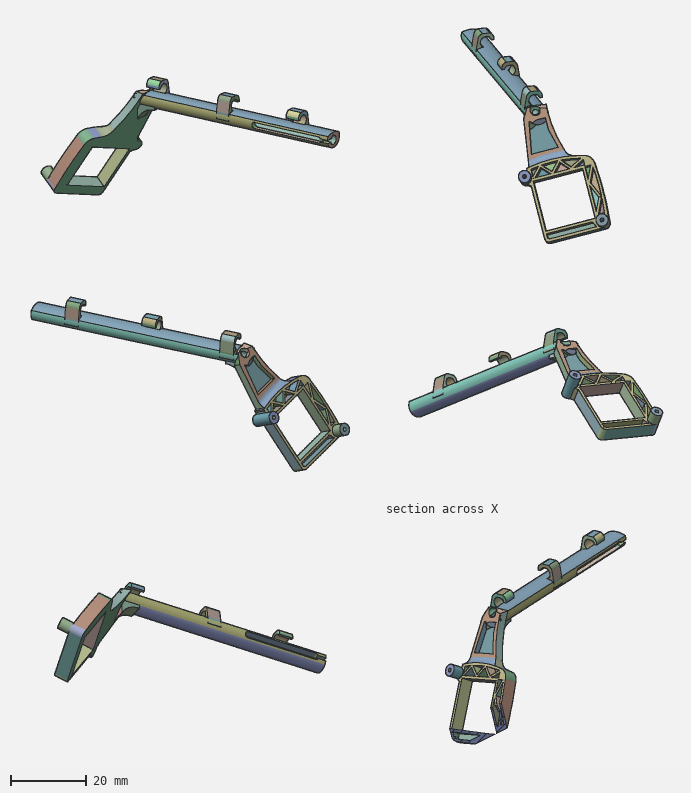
import cadquery as cq
import math

tube_start_x = -2.75
tube_end_x = 60.05
tube_top_z = 2.2
tube_bottom_z = -2.15
tube_side_y = 2.75
shoulder_y = 2.6
shoulder_z = 1.64
keel_y = 2.15
keel_z = -1.27
bore_radius = 1.25
bore_start_x = -1.6

mouth_radius = 1.3
mouth_y = 0.6
mouth_z = 1.65
mouth_end_x = 0.0
mouth_reach = 6.0

slot_start_x = 35.5
slot_end_x = 57.8
slot_height = 1.8
slot_z = 0.15
notch_height = 0.9

clips = ((3.0, -1), (26.0, 1), (48.2, -1))
clip_width = 4.0
clip_top_z = 6.06
clip_flat_y = 1.0
clip_shoulder_y = 1.75
clip_shoulder_z = 5.6
clip_flank_y = 2.2
clip_flank_z = 4.7
clip_base_z = -0.3
clip_tip_z = 4.0
cable_radius = 1.55
cable_z = 3.55

frame_yaw = math.radians(22.0)
frame_pitch = math.radians(28.0)
frame_roll = math.radians(16.7)
frame_origin = cq.Vector(-25.45, -10.9, -22.2)

boss_radius = 1.65
boss_hole_radius = 0.5
boss_hole_depth = 5.0
lower_boss = (0.0, 0.0)
upper_boss = (-17.2, 16.6)

frame_front = 3.3
frame_back = 7.2
opening_left = -15.45
opening_right = -1.85
opening_bottom = 1.4
opening_top = 15.25
frame_left = -16.3
frame_right = boss_radius
frame_bottom = -boss_radius
frame_bulge = 0.35
frame_corner_radius = 1.2
crown_radius = 33.0
crown_centre = (-9.5, -13.25)
crown_end_a = -0.3
corner_mid = (1.15, 17.4)
corner_end_b = 15.8

rim = 0.75
pocket_depth = 3.0
rib_width = 0.7
groove_right_low = -2.0
groove_right_high = -2.8
groove_chamfer = 0.5
top_pocket_left = -15.25
top_pocket_right = -1.1
top_rib_a = (-15.2, -12.6, -9.9, -7.3, -4.7, top_pocket_right)
side_pocket_bottom = 2.2
side_pocket_top = 15.6
side_rib_bays = 3

web_overlap = 0.4
web_rise = 0.6
web_drop = 1.0

neck_front = 4.7
neck_base_b = 17.0
neck_base_left = -16.0
neck_base_right = -2.8
neck_foot_mid = (-4.6, 20.1)
neck_foot_end = (-5.4, 21.7)
neck_waist = (-6.9, 28.0)
neck_tip_right = (-7.1, 35.5)
neck_tip_left = (-12.0, 35.5)
neck_shoulder = (-13.9, 32.4)
neck_end_x = 0.5

blend_height = 2.6
blend_mid_height = 1.0
blend_mid_depth = 4.4

channel_depth = 1.6
channel_bottom_b = 22.6
channel_bottom_left = -14.2
channel_bottom_right = -6.8
channel_waist = (-8.2, 28.0)
channel_top_b = 31.2
channel_top_left = -12.7

elbow_back = (-1.9, -5.6)
elbow_mid = (-0.2, -3.4)
elbow_front_x = 3.5
elbow_half_width = 2.2

clearance = 1.0
trim_size = 60.0


def frame_axes():
    """Unit vectors of the frame: across (a), up (b) and depth."""
    level = cq.Vector(-math.sin(frame_yaw), -math.cos(frame_yaw), 0)
    rise = cq.Vector(
        math.sin(frame_pitch) * math.cos(frame_yaw),
        -math.sin(frame_pitch) * math.sin(frame_yaw),
        math.cos(frame_pitch),
    )
    across = level * math.cos(frame_roll) + rise * math.sin(frame_roll)
    up = rise * math.cos(frame_roll) - level * math.sin(frame_roll)
    return across, up, up.cross(across)


def layer(front, back):
    """Workplane in (a, b) at depth `back`, and the extrusion that reaches depth `front`."""
    across, _, depth = frame_axes()
    plane = cq.Plane(frame_origin + depth * back, across, depth * -1)
    return cq.Workplane(plane), back - front


def crown_b(a, inset=0.0):
    """Height of the arched top of the frame at a, moved inward by inset."""
    radius = crown_radius - inset
    return crown_centre[1] + math.sqrt(radius**2 - (a - crown_centre[0]) ** 2)


def rib(start, end):
    """Straight rib joining two (a, b) points, as deep as the frame."""
    plane, thickness = layer(frame_front, frame_back)
    angle = math.degrees(math.atan2(end[1] - start[1], end[0] - start[0]))
    return (
        plane.center((start[0] + end[0]) / 2, (start[1] + end[1]) / 2)
        .transformed(rotate=(0, 0, angle))
        .rect(math.dist(start, end), rib_width)
        .extrude(thickness)
    )


def truss(pocket, nodes):
    """Pocket crossed by a zigzag of ribs through the nodes."""
    for start, end in zip(nodes, nodes[1:]):
        pocket = pocket.cut(rib(start, end))
    return pocket


def frame_body():
    plane, thickness = layer(frame_front, frame_back)
    middle_b = (opening_bottom + opening_top) / 2
    return (
        plane.moveTo(frame_left + frame_corner_radius, frame_bottom)
        .lineTo(0, frame_bottom)
        .radiusArc((frame_right, 0), -boss_radius)
        .threePointArc((frame_right + frame_bulge, middle_b), (frame_right, corner_end_b))
        .threePointArc(corner_mid, (crown_end_a, crown_b(crown_end_a)))
        .threePointArc((crown_centre[0], crown_b(crown_centre[0])), (frame_left, crown_b(frame_left)))
        .lineTo(frame_left, frame_bottom + frame_corner_radius)
        .radiusArc((frame_left + frame_corner_radius, frame_bottom), -frame_corner_radius)
        .close()
        .extrude(thickness)
    )


def opening():
    plane, thickness = layer(frame_front - clearance, frame_back + clearance)
    return (
        plane.center((opening_left + opening_right) / 2, (opening_bottom + opening_top) / 2)
        .rect(opening_right - opening_left, opening_top - opening_bottom)
        .extrude(thickness)
    )


def bottom_groove():
    plane, thickness = layer(frame_front, frame_front + pocket_depth)
    low = frame_bottom + rim
    high = opening_bottom - rim
    return (
        plane.moveTo(opening_left + groove_chamfer, low)
        .lineTo(groove_right_low, low)
        .lineTo(groove_right_high, high)
        .lineTo(opening_left, high)
        .lineTo(opening_left, low + groove_chamfer)
        .close()
        .extrude(thickness)
    )


def top_pocket():
    plane, thickness = layer(frame_front, frame_front + pocket_depth)
    low = opening_top + rim
    pocket = (
        plane.moveTo(top_pocket_left, low)
        .lineTo(top_pocket_right, low)
        .lineTo(top_pocket_right, crown_b(top_pocket_right, rim))
        .threePointArc(
            (crown_centre[0], crown_b(crown_centre[0], rim)),
            (top_pocket_left, crown_b(top_pocket_left, rim)),
        )
        .close()
        .extrude(thickness)
    )
    nodes = [(a, crown_b(a, rim) if i % 2 else low) for i, a in enumerate(top_rib_a)]
    return truss(pocket, nodes)


def side_pocket():
    plane, thickness = layer(frame_front, frame_front + pocket_depth)
    near = opening_right + rim
    far = frame_right - rim
    middle_b = (side_pocket_bottom + side_pocket_top) / 2
    pocket = (
        plane.moveTo(near, side_pocket_bottom)
        .lineTo(far, side_pocket_bottom)
        .threePointArc((far + frame_bulge, middle_b), (far, side_pocket_top))
        .lineTo(near, side_pocket_top)
        .close()
        .extrude(thickness)
    )
    pitch = (side_pocket_top - side_pocket_bottom) / side_rib_bays
    nodes = [
        (far if i % 2 else near, side_pocket_bottom + i * pitch)
        for i in range(side_rib_bays + 1)
    ]
    return truss(pocket, nodes)


def boss(centre):
    plane, thickness = layer(0, frame_back)
    return plane.center(*centre).circle(boss_radius).extrude(thickness)


def boss_hole(centre):
    plane, thickness = layer(0, boss_hole_depth)
    return plane.center(*centre).circle(boss_hole_radius).extrude(thickness)


def boss_web():
    """Web that ties the upper boss to the corner of the frame."""
    plane, thickness = layer(frame_front, frame_back)
    boss_a, boss_b = upper_boss
    inner_a = frame_left + web_overlap
    return (
        plane.moveTo(boss_a, boss_b - boss_radius)
        .lineTo(inner_a, boss_b - boss_radius - web_drop)
        .lineTo(inner_a, crown_b(inner_a))
        .lineTo(boss_a, boss_b + web_rise)
        .close()
        .extrude(thickness)
    )


def neck_slab(front):
    """Outline of the neck, from the back of the frame forward to depth `front`."""
    plane, thickness = layer(front, frame_back)
    return (
        plane.moveTo(neck_base_left, neck_base_b)
        .lineTo(neck_base_right, neck_base_b)
        .lineTo(neck_base_right, crown_b(neck_base_right))
        .threePointArc(neck_foot_mid, neck_foot_end)
        .spline([neck_waist, neck_tip_right], includeCurrent=True)
        .lineTo(*neck_tip_left)
        .lineTo(*neck_shoulder)
        .close()
        .extrude(thickness)
    )


def crown_blend():
    """Concave ring around the crown, limited to the outline of the neck."""
    across, up, depth = frame_axes()
    centre = frame_origin + across * crown_centre[0] + up * crown_centre[1]
    section = cq.Workplane(cq.Plane(centre, up * -1, depth.cross(up)))
    ring = (
        section.moveTo(crown_radius - clearance, neck_front + clearance)
        .lineTo(crown_radius - clearance, frame_front)
        .lineTo(crown_radius, frame_front)
        .threePointArc(
            (crown_radius + blend_mid_height, blend_mid_depth),
            (crown_radius + blend_height, neck_front),
        )
        .lineTo(crown_radius + blend_height, neck_front + clearance)
        .close()
        .revolve(360, (0, 0), (0, 1))
    )
    return neck_slab(frame_front - clearance).intersect(ring)


def neck_channel():
    plane, thickness = layer(neck_front - clearance, neck_front + channel_depth)
    return (
        plane.moveTo(channel_bottom_left, channel_bottom_b)
        .lineTo(channel_bottom_right, channel_bottom_b)
        .lineTo(*channel_waist)
        .lineTo(channel_waist[0], channel_top_b)
        .lineTo(channel_top_left, channel_top_b)
        .close()
        .extrude(thickness)
    )


def neck():
    above_tube = cq.Workplane("XY", origin=(0, 0, tube_top_z)).rect(trim_size, trim_size)
    past_elbow = cq.Workplane("YZ", origin=(neck_end_x, 0, 0)).rect(trim_size, trim_size)
    body = neck_slab(neck_front).cut(above_tube.extrude(trim_size))
    body = body.cut(past_elbow.extrude(trim_size))
    return body.cut(neck_channel())


def tube_body():
    return (
        cq.Workplane("YZ", origin=(tube_start_x, 0, 0))
        .moveTo(-shoulder_y, shoulder_z)
        .threePointArc((0, tube_top_z), (shoulder_y, shoulder_z))
        .threePointArc((tube_side_y, 0), (keel_y, keel_z))
        .threePointArc((0, tube_bottom_z), (-keel_y, keel_z))
        .threePointArc((-tube_side_y, 0), (-shoulder_y, shoulder_z))
        .close()
        .extrude(tube_end_x - tube_start_x)
    )


def elbow():
    return (
        cq.Workplane("XZ", origin=(0, elbow_half_width, 0))
        .moveTo(*elbow_back)
        .threePointArc(elbow_mid, (elbow_front_x, tube_bottom_z))
        .lineTo(elbow_front_x, 0)
        .lineTo(elbow_back[0], 0)
        .close()
        .extrude(2 * elbow_half_width)
    )


def space_before_neck():
    """Everything in front of the neck face, which trims the start of the tube."""
    plane, thickness = layer(neck_front - trim_size, neck_front)
    return plane.center(*neck_tip_right).rect(trim_size, trim_size).extrude(thickness)


def bore():
    start = cq.Workplane("YZ", origin=(bore_start_x, 0, 0))
    return start.circle(bore_radius).extrude(tube_end_x - bore_start_x)


def bore_mouth():
    """Ball-ended channel that opens the bore at the elbow."""
    ball_x = mouth_end_x - mouth_radius
    start = cq.Workplane("YZ", origin=(ball_x - mouth_reach, mouth_y, mouth_z))
    ball = cq.Workplane("XY", origin=(ball_x, mouth_y, mouth_z)).sphere(mouth_radius)
    return start.circle(mouth_radius).extrude(mouth_reach).union(ball)


def slot():
    cut_depth = tube_side_y + clearance
    notch_start_x = slot_end_x - slot_height
    groove = (
        cq.Workplane("XZ", origin=((slot_start_x + slot_end_x) / 2, 0, slot_z))
        .slot2D(slot_end_x - slot_start_x, slot_height)
        .extrude(cut_depth)
    )
    notch = (
        cq.Workplane("XZ", origin=((notch_start_x + tube_end_x) / 2, 0, slot_z))
        .rect(tube_end_x - notch_start_x, notch_height)
        .extrude(cut_depth)
    )
    return groove.union(notch)


def clip(centre_x, mouth_side):
    """Hook around the cable; mouth_side is the Y direction of its open side."""
    plane = cq.Workplane("YZ", origin=(centre_x - clip_width / 2, 0, 0))
    wall_side = -mouth_side
    hook = (
        plane.moveTo(wall_side * tube_side_y, clip_base_z)
        .lineTo(wall_side * tube_side_y, shoulder_z)
        .lineTo(wall_side * clip_flank_y, clip_flank_z)
        .threePointArc(
            (wall_side * clip_shoulder_y, clip_shoulder_z), (wall_side * clip_flat_y, clip_top_z)
        )
        .lineTo(mouth_side * clip_flat_y, clip_top_z)
        .threePointArc(
            (mouth_side * clip_shoulder_y, clip_shoulder_z), (mouth_side * clip_flank_y, clip_flank_z)
        )
        .lineTo(mouth_side * clip_flank_y, clip_tip_z)
        .lineTo(0, clip_tip_z)
        .lineTo(0, clip_base_z)
        .close()
        .extrude(clip_width)
    )
    cable = plane.center(0, cable_z).circle(cable_radius).extrude(clip_width)
    return hook.cut(cable)


frame = frame_body().union(boss_web()).union(neck()).union(crown_blend())
frame = frame.union(boss(upper_boss))
for recess in (opening(), bottom_groove(), top_pocket(), side_pocket()):
    frame = frame.cut(recess)
frame = frame.union(boss(lower_boss))
for boss_centre in (lower_boss, upper_boss):
    frame = frame.cut(boss_hole(boss_centre))

arm = tube_body().union(elbow()).cut(space_before_neck())
result = frame.union(arm)
for clip_x, clip_mouth in clips:
    result = result.union(clip(clip_x, clip_mouth))
result = result.cut(bore()).cut(bore_mouth()).cut(slot())